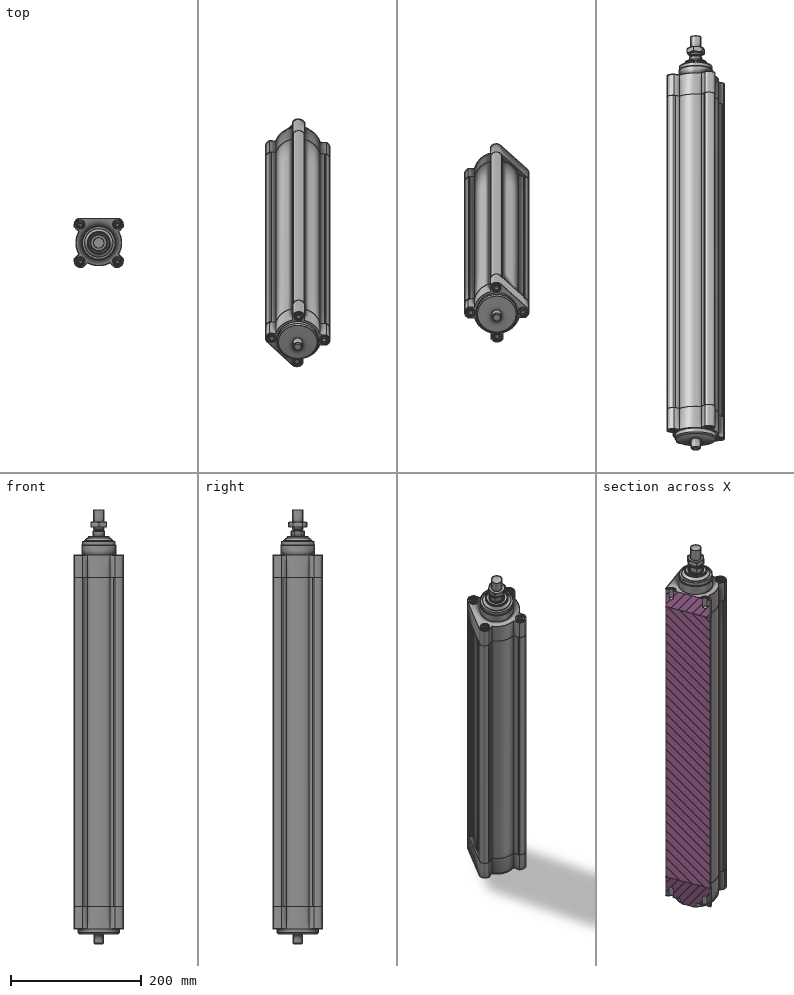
import cadquery as cq
import math

cover_length = 34.0
tube_length = 503.5
tube_start = cover_length
tube_end = tube_start + tube_length
front_face = tube_end + cover_length
nose_length = 28.5
rod_step_height = 37.0
rod_step = front_face + rod_step_height
thread_length = 32.0

body_diameter = 70.0
overall_width = 75.0
lug_radius = 9.25
lug_center = overall_width / 2 - lug_radius
lug_flat_start = 24.5
flank_offset = (overall_width / 2 - lug_flat_start) / math.sqrt(2)
lip_side = 22.4
lip_shelf = 36.5
lip_arc_overlap = 1.05

screw_head_diameter = 13.2
screw_rim_diameter = 12.0
screw_recess_diameter = 14.1
screw_recess_depth = 1.0
screw_thread_diameter = 8.0
screw_bore_diameter = 6.65
screw_bore_depth = 16.0
screw_bore_tip_angle = 118.0

collar_diameter = 52.0
collar_length = 14.5
step_diameter = 50.0
step_length = 6.5
cone_base_diameter = 43.2
cone_base_length = 1.0
cone_tip_diameter = 35.0
lip_diameter = 32.0
lip_length = 2.5
wiper_diameter = 24.0
wiper_depth = 1.0

rear_collar_diameter = 63.0
rear_collar_length = 8.0
rear_collar_chamfer = 2.0
shaft_diameter = 14.0
shaft_length = 15.0
shaft_chamfer = 1.5

rod_diameter = 20.0
rod_chamfer = 1.0
rod_flats_width = 17.0
rod_flats_length = 9.0
thread_diameter = 16.0
thread_core_diameter = 14.16
undercut_length = 1.5
thread_chamfer = (thread_diameter - thread_core_diameter) / 2

nut_width = 24.0
nut_height = 8.0
nut_to_tip = 18.5
nut_chamfer_diameter = 24.0
nut_chamfer_angle = 30.0


def cylinder(diameter, start, length):
    return cq.Workplane("XY", origin=(0, 0, start)).circle(diameter / 2).extrude(length)


def lug_positions():
    return [(x, y) for x in (-lug_center, lug_center) for y in (-lug_center, lug_center)]


def turned(point, quarter_turns):
    """Turn a point about the Z axis in exact 90 degree steps."""
    x, y = point
    for _ in range(quarter_turns):
        x, y = -y, x
    return x, y


def body_section(start, length, with_lips):
    """Round body with a lug on each diagonal; with_lips adds the stepped edges of the tube's lugs."""
    half = overall_width / 2
    corner = lug_center + lug_radius / math.sqrt(2)
    flank_root = math.sqrt((body_diameter / 2) ** 2 - flank_offset**2)
    root_near = (flank_root - flank_offset) / math.sqrt(2)
    root_far = (flank_root + flank_offset) / math.sqrt(2)
    if with_lips:
        lip_height = lip_side + flank_offset * math.sqrt(2)
        arc_end = lug_center - lip_arc_overlap
        arc_height = lug_center + math.sqrt(lug_radius**2 - lip_arc_overlap**2)
        side = [(lip_height, lip_side), (lip_height, lug_flat_start), (lip_shelf, lug_flat_start)]
    else:
        arc_end = lug_center
        arc_height = half
        side = [(half, lug_flat_start)]
    outline = cq.Workplane("XY", origin=(0, 0, start)).moveTo(root_far, -root_near)
    for turn in range(4):
        side_middle = turned((body_diameter / 2, 0), turn)
        outline = outline.threePointArc(side_middle, turned((root_far, root_near), turn))
        for point in side:
            outline = outline.lineTo(*turned(point, turn))
        outline = outline.lineTo(*turned((arc_height, arc_end), turn))
        outline = outline.threePointArc(turned((corner, corner), turn), turned((arc_end, arc_height), turn))
        for x, y in reversed(side):
            outline = outline.lineTo(*turned((y, x), turn))
        outline = outline.lineTo(*turned((root_near, root_far), turn))
    return outline.close().extrude(length)


def cover_block(start):
    """Lugged block whose +Y side is filled out to a flat between the two lugs."""
    block = body_section(start, cover_length, with_lips=False)
    flat = (
        cq.Workplane("XY", origin=(0, overall_width / 4, start))
        .rect(2 * lug_center, overall_width / 2)
        .extrude(cover_length)
    )
    return block.union(flat)


def screw_cut():
    """Cut below a lug face at Z = 0: a groove around the chamfered screw head and its blind bore."""
    head_chamfer = (screw_head_diameter - screw_rim_diameter) / 2
    mouth_chamfer = (screw_thread_diameter - screw_bore_diameter) / 2
    tip_length = screw_bore_diameter / 2 / math.tan(math.radians(screw_bore_tip_angle / 2))
    groove = (
        cq.Workplane("XZ")
        .moveTo(screw_rim_diameter / 2, 0)
        .lineTo(screw_recess_diameter / 2, 0)
        .lineTo(screw_recess_diameter / 2, -screw_recess_depth)
        .lineTo(screw_head_diameter / 2, -screw_recess_depth)
        .lineTo(screw_head_diameter / 2, -head_chamfer)
        .close()
        .revolve(360, (0, 0), (0, 1))
    )
    bore = (
        cq.Workplane("XZ")
        .lineTo(screw_thread_diameter / 2, 0)
        .lineTo(screw_bore_diameter / 2, -mouth_chamfer)
        .lineTo(screw_bore_diameter / 2, -screw_bore_depth)
        .lineTo(0, -screw_bore_depth - tip_length)
        .close()
        .revolve(360, (0, 0), (0, 1))
    )
    return groove.union(bore)


def add_screws(cover, face_z, turn):
    cutter = screw_cut().rotate((0, 0, 0), (1, 0, 0), turn)
    for x, y in lug_positions():
        cover = cover.cut(cutter.translate((x, y, face_z)))
    return cover


def make_front_cover():
    collar_top = front_face + collar_length
    step_top = collar_top + step_length
    nose_top = front_face + nose_length
    nose = (
        cq.Workplane("XZ")
        .moveTo(0, front_face)
        .lineTo(collar_diameter / 2, front_face)
        .lineTo(collar_diameter / 2, collar_top)
        .lineTo(step_diameter / 2, collar_top + (collar_diameter - step_diameter) / 2)
        .lineTo(step_diameter / 2, step_top)
        .lineTo(cone_base_diameter / 2, step_top)
        .lineTo(cone_base_diameter / 2, step_top + cone_base_length)
        .lineTo(cone_tip_diameter / 2, nose_top - lip_length)
        .lineTo(lip_diameter / 2, nose_top - lip_length)
        .lineTo(lip_diameter / 2, nose_top)
        .lineTo(0, nose_top)
        .close()
        .revolve(360, (0, 0), (0, 1))
    )
    cover = cover_block(tube_end).union(nose)
    cover = cover.cut(cylinder(rod_diameter, tube_end, cover_length + nose_length))
    cover = cover.cut(cylinder(wiper_diameter, nose_top, -wiper_depth))
    return add_screws(cover, front_face, 0)


def make_rear_cover():
    collar = cylinder(rear_collar_diameter, 0, -rear_collar_length)
    collar = collar.faces("<Z").chamfer(rear_collar_chamfer)
    shaft = cylinder(shaft_diameter, -rear_collar_length, -shaft_length)
    shaft = shaft.faces("<Z").chamfer(shaft_chamfer)
    cover = cover_block(0).union(collar).union(shaft)
    return add_screws(cover, 0, 180)


def make_rod():
    """Rod with two wrench flats across X, a thread undercut and an unthreaded cylinder as its thread."""
    rod = cylinder(rod_diameter, tube_end, rod_step - tube_end).faces(">Z").chamfer(rod_chamfer)
    flats = (
        cq.Workplane("XY", origin=(0, 0, rod_step))
        .rect(2 * rod_diameter, 2 * rod_diameter)
        .rect(rod_flats_width, 2 * rod_diameter)
        .extrude(-rod_flats_length)
    )
    undercut = cylinder(thread_core_diameter, rod_step, undercut_length)
    thread = cylinder(thread_diameter, rod_step + undercut_length, thread_length - undercut_length)
    thread = thread.faces("<Z").chamfer(thread_chamfer)
    return rod.cut(flats).union(undercut).union(thread)


def make_nut():
    bottom = rod_step + thread_length - nut_to_tip - nut_height
    corner_diameter = nut_width / math.cos(math.pi / 6)
    chamfer_width = (corner_diameter - nut_chamfer_diameter) / 2
    chamfer_height = chamfer_width * math.tan(math.radians(nut_chamfer_angle))
    hexagon = (
        cq.Workplane("XY", origin=(0, 0, bottom))
        .polygon(6, corner_diameter)
        .extrude(nut_height)
        .rotate((0, 0, 0), (0, 0, 1), 90)
    )
    envelope = cylinder(corner_diameter, bottom, nut_height)
    envelope = envelope.faces("<Z or >Z").chamfer(chamfer_height, chamfer_width)
    return hexagon.intersect(envelope).cut(cylinder(thread_diameter, bottom, nut_height))


front_cover = make_front_cover()
tube = body_section(tube_start, tube_length, with_lips=True)
rear_cover = make_rear_cover()
rod = make_rod()
nut = make_nut()
bodies = [front_cover, tube, rear_cover, rod, nut]
result = cq.Compound.makeCompound([body.val() for body in bodies])